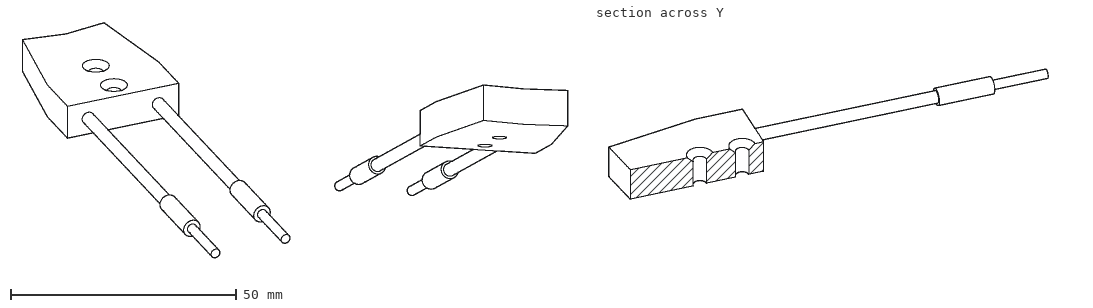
import cadquery as cq
import math

total_length = 103.0
head_length = 33.0
head_width = 27.0
head_height = 8.0
front_width = 19.8
taper_length = 21.8
notch_depth = 1.4

hole_diameter = 3.1
countersink_diameter = 6.0
countersink_angle = 90.0
hole_positions = (17.9, 27.9)

lens_diameter = 5.3
lens_height = 0.2
lens_embed = 1.0

lead_spacing = 17.0
cable_diameter = 2.9
sleeve_diameter = 4.0
sleeve_length = 13.1
wire_diameter = 2.2
wire_length = 13.0
wire_start = total_length - wire_length
sleeve_start = wire_start - sleeve_length


def make_head():
    """Block centred on the XY plane, with its front corners at X = 0."""
    outline = [
        (0, -front_width / 2),
        (taper_length, -head_width / 2),
        (head_length, -head_width / 2),
        (head_length, head_width / 2),
        (taper_length, head_width / 2),
        (0, front_width / 2),
        (notch_depth, 0),
    ]
    block = cq.Workplane("XY").polyline(outline).close().extrude(head_height / 2, both=True)
    return (
        block.faces(">Z")
        .workplane(origin=(0, 0, head_height / 2))
        .pushPoints([(x, 0) for x in hole_positions])
        .cskHole(hole_diameter, countersink_diameter, countersink_angle)
    )


def make_lens(side):
    """Domed plug standing square on one half of the front face; side is +1 or -1."""
    lens_radius = lens_diameter / 2
    sphere_radius = (lens_radius**2 + lens_height**2) / (2 * lens_height)
    half_radius = lens_radius / 2
    half_height = math.sqrt(sphere_radius**2 - half_radius**2) - (sphere_radius - lens_height)
    face_tilt = math.degrees(math.atan2(notch_depth, front_width / 2))
    dome = (
        cq.Workplane("XY")
        .moveTo(0, -lens_embed)
        .lineTo(lens_radius, -lens_embed)
        .lineTo(lens_radius, 0)
        .threePointArc((half_radius, half_height), (0, lens_height))
        .close()
        .revolve(360, (0, 0), (0, 1))
    )
    turn = 90 + side * face_tilt
    return dome.rotate((0, 0, 0), (0, 0, 1), turn).translate((notch_depth / 2, side * front_width / 4, 0))


def make_rod(start, end, diameter, y):
    """Round bar parallel to X."""
    return cq.Workplane("YZ", origin=(start, y, 0)).circle(diameter / 2).extrude(end - start)


result = make_head()
for side in (-1, 1):
    lead_y = side * lead_spacing / 2
    result = (
        result.union(make_lens(side))
        .union(make_rod(head_length, sleeve_start, cable_diameter, lead_y))
        .union(make_rod(sleeve_start, wire_start, sleeve_diameter, lead_y))
        .union(make_rod(wire_start, total_length, wire_diameter, lead_y))
    )